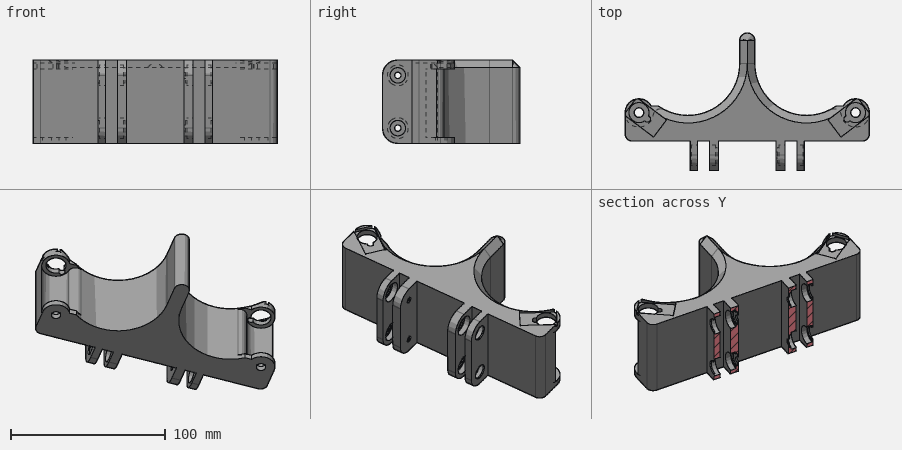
import cadquery as cq
import math

LENGTH = 158.0
HEIGHT = 54.0
WING_DEPTH = 22.9
CORNER_RADIUS = 4.7

FIN_WIDTH = 10.0
FIN_HALF_WIDTH = FIN_WIDTH / 2
FIN_REACH = 70.0
FIN_TIP_Y = FIN_REACH - FIN_HALF_WIDTH
CRADLE_RADIUS = 33.3
CRADLE_X = FIN_HALF_WIDTH + CRADLE_RADIUS
CRADLE_Y = 50.1

EDGE_CHAMFER = FIN_HALF_WIDTH
SHOULDER_Z = HEIGHT - EDGE_CHAMFER

EAR_RADIUS = 9.0
EAR_X = LENGTH / 2 - EAR_RADIUS
EAR_Y = 18.5
EAR_BASE = 4.0
EAR_TOP = 6.0
CHANNEL_RADIUS = 9.3
LIP_RADIUS = 5.0
PIN_HOLE_DIAMETER = 6.0
SOCKET_DIAMETER = 13.0
KEYWAY_RADIUS = 2.0
KEYWAY_OFFSET = 6.8

RECESS_ANGLE = 37.0
RECESS_HALF_WIDTH = 7.0
RECESS_INNER_REACH = 17.0
RECESS_DEPTH = 2.0

LUG_REACH = 19.0
LUG_RADIUS = 10.0
LUG_ROOT = 4.7
LUG_INNER_X = 18.5
LUG_INNER_THICKNESS = 6.0
LUG_OUTER_THICKNESS = 4.9
LUG_GAP = 7.6
GAP_START = LUG_INNER_X + LUG_INNER_THICKNESS
GAP_END = GAP_START + LUG_GAP
LUG_OUTER_X = GAP_END + LUG_OUTER_THICKNESS
BOLT_Y = LUG_RADIUS - LUG_REACH
BOLT_DIAMETER = 4.0
BUSH_DIAMETER = 10.0
BUSH_DEPTH = 4.9
WASHER_DIAMETER = 13.5
WASHER_DEPTH = 4.0


def box(x0, x1, y0, y1, z0, z1):
    """Axis-aligned block between two opposite corners."""
    return cq.Workplane("XY").box(x1 - x0, y1 - y0, z1 - z0, centered=False).translate((x0, y0, z0))


def post(x, y, radius, z0, z1):
    """Upright cylinder."""
    return cq.Workplane("XY").circle(radius).extrude(z1 - z0).translate((x, y, z0))


def cross_pin(z, diameter, x0, x1):
    """Cylinder along X on a bolt axis."""
    return cq.Workplane("YZ").center(BOLT_Y, z).circle(diameter / 2).extrude(x1 - x0).translate((x0, 0, 0))


def both_sides(shape):
    """The shape together with its mirror image across X = 0."""
    return shape.union(shape.mirror("YZ"))


def cradle_cutter():
    """Cylinder that flares into a 45 degree cone at the top edge."""
    profile = [
        (0, 0),
        (CRADLE_RADIUS, 0),
        (CRADLE_RADIUS, SHOULDER_Z),
        (CRADLE_RADIUS + EDGE_CHAMFER, HEIGHT),
        (0, HEIGHT),
    ]
    cutter = cq.Workplane("XZ").polyline(profile).close().revolve(360, (0, 0), (0, 1))
    return cutter.translate((CRADLE_X, CRADLE_Y, 0))


def fin():
    """Gabled wall whose free end is a half-round with a conical top."""
    half_section = [(0, 0), (FIN_HALF_WIDTH, 0), (FIN_HALF_WIDTH, SHOULDER_Z), (0, HEIGHT)]
    straight = cq.Workplane("XZ").polyline(half_section).close().extrude(CRADLE_Y - FIN_TIP_Y)
    tip = cq.Workplane("XZ").polyline(half_section).close().revolve(360, (0, 0), (0, 1))
    return both_sides(straight.translate((0, CRADLE_Y, 0))).union(tip.translate((0, FIN_TIP_Y, 0)))


def body():
    """Wings, cradles, fin and ears."""
    wings = box(-EAR_X, EAR_X, 0, WING_DEPTH, 0, HEIGHT)
    ends = box(-LENGTH / 2, LENGTH / 2, 0, EAR_Y, 0, HEIGHT).edges("|Z and <Y").fillet(CORNER_RADIUS)
    web = box(-CRADLE_X, CRADLE_X, 0, CRADLE_Y, 0, HEIGHT)
    ears = both_sides(post(EAR_X, EAR_Y, EAR_RADIUS, 0, HEIGHT))
    solid = wings.union(ends).union(web).union(ears)
    return solid.cut(both_sides(cradle_cutter())).union(fin())


def lip_cutter(z0, z1):
    """Removes the sharp lip outside a round tangent to both the +X channel and cradle."""
    span_x = CRADLE_X - EAR_X
    span_y = CRADLE_Y - EAR_Y
    span = math.hypot(span_x, span_y)
    to_ear = CHANNEL_RADIUS + LIP_RADIUS
    to_cradle = CRADLE_RADIUS + LIP_RADIUS
    along = (to_ear**2 + span**2 - to_cradle**2) / (2 * span)
    across = math.sqrt(to_ear**2 - along**2)
    lip_x = EAR_X + (along * span_x - across * span_y) / span
    lip_y = EAR_Y + (along * span_y + across * span_x) / span
    corners = [(EAR_X, EAR_Y), (CRADLE_X, CRADLE_Y), (lip_x, lip_y)]
    wedge = cq.Workplane("XY").polyline(corners).close().extrude(z1 - z0).translate((0, 0, z0))
    return wedge.cut(post(lip_x, lip_y, LIP_RADIUS, z0, z1))


def ear_cutter():
    """Channel, pin hole, keyed socket and top recess of the +X ear."""
    socket_z = HEIGHT - EAR_TOP
    angle = math.radians(RECESS_ANGLE)
    key_x = EAR_X - KEYWAY_OFFSET * math.cos(angle)
    key_y = EAR_Y - KEYWAY_OFFSET * math.sin(angle)
    recess = box(
        -RECESS_INNER_REACH, RECESS_HALF_WIDTH,
        -RECESS_HALF_WIDTH, RECESS_HALF_WIDTH,
        HEIGHT - RECESS_DEPTH, HEIGHT,
    )
    recess = recess.rotate((0, 0, 0), (0, 0, 1), RECESS_ANGLE).translate((EAR_X, EAR_Y, 0))
    cutter = post(EAR_X, EAR_Y, CHANNEL_RADIUS, EAR_BASE, socket_z)
    cutter = cutter.union(lip_cutter(EAR_BASE, socket_z))
    cutter = cutter.union(post(EAR_X, EAR_Y, PIN_HOLE_DIAMETER / 2, 0, EAR_BASE))
    cutter = cutter.union(post(EAR_X, EAR_Y, SOCKET_DIAMETER / 2, socket_z, HEIGHT))
    cutter = cutter.union(post(key_x, key_y, KEYWAY_RADIUS, socket_z, HEIGHT))
    return cutter.union(recess)


def lug(x0, x1):
    """Plate rooted in the flat side, standing off it with rounded outer corners."""
    return box(x0, x1, -LUG_REACH, LUG_ROOT, 0, HEIGHT).edges("|X and <Y").fillet(LUG_RADIUS)


def bolt_cutter(z):
    """Stepped bore through one +X pair of lugs."""
    cutter = cross_pin(z, BOLT_DIAMETER, LUG_INNER_X, LUG_OUTER_X)
    cutter = cutter.union(cross_pin(z, BUSH_DIAMETER, GAP_START - BUSH_DEPTH, LUG_OUTER_X))
    return cutter.union(cross_pin(z, WASHER_DIAMETER, GAP_START - WASHER_DEPTH, GAP_END + WASHER_DEPTH))


def lug_pair():
    """The +X pair of lugs with its two bolt bores."""
    pair = lug(LUG_INNER_X, GAP_START).union(lug(GAP_END, LUG_OUTER_X))
    for z in (LUG_RADIUS, HEIGHT - LUG_RADIUS):
        pair = pair.cut(bolt_cutter(z))
    return pair


result = body().cut(both_sides(ear_cutter())).union(both_sides(lug_pair()))